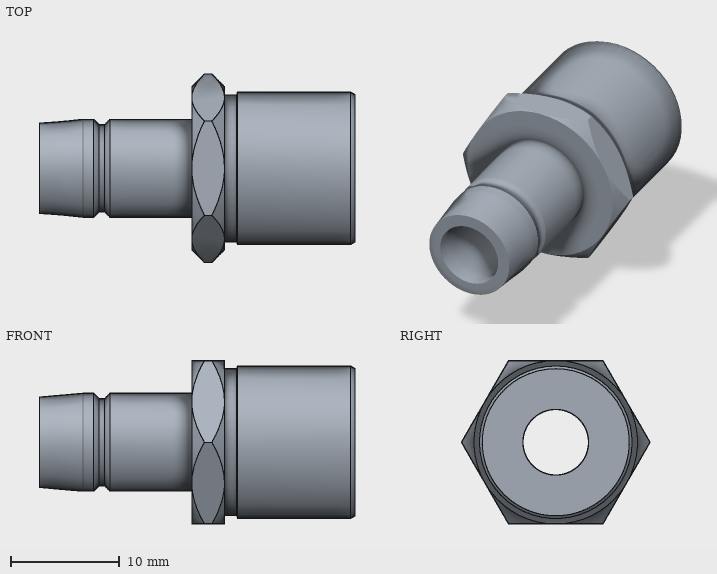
import cadquery as cq
import math

tip_end = 4.0
groove_start = 5.0
groove_end = 6.5
hex_start = 14.0
hex_end = 17.0
neck_end = 18.12
body_start = 18.2
total_length = 29.0

tip_diameter = 8.3
tube_diameter = 9.0
groove_diameter = 8.0
neck_diameter = 13.5
body_diameter = 14.0
bore_diameter = 6.0
hex_across_flats = 15.0

body_end_bevel_length = 0.43
body_end_bevel_depth = 0.25


def revolved_body():
    """Tube with tapered tip and groove, then neck and body, revolved about X."""
    tip_radius = tip_diameter / 2
    tube_radius = tube_diameter / 2
    groove_radius = groove_diameter / 2
    neck_radius = neck_diameter / 2
    body_radius = body_diameter / 2
    groove_depth = tube_radius - groove_radius

    return (
        cq.Workplane("XZ")
        .moveTo(0, 0)
        .lineTo(total_length, 0)
        .lineTo(total_length, body_radius - body_end_bevel_depth)
        .lineTo(total_length - body_end_bevel_length, body_radius)
        .lineTo(body_start, body_radius)
        .lineTo(neck_end, neck_radius)
        .lineTo(hex_start, neck_radius)
        .lineTo(hex_start, tube_radius)
        .lineTo(groove_end, tube_radius)
        .lineTo(groove_end - groove_depth, groove_radius)
        .lineTo(groove_start + groove_depth, groove_radius)
        .lineTo(groove_start, tube_radius)
        .lineTo(tip_end, tube_radius)
        .lineTo(0, tip_radius)
        .close()
        .revolve(360, (0, 0, 0), (1, 0, 0))
    )


def bevelled_hexagon():
    """Hexagon with flats facing +Z and -Z and 45 degree conical bevels on both faces."""
    flat_radius = hex_across_flats / 2
    corner_radius = flat_radius / math.cos(math.pi / 6)
    hex_width = hex_end - hex_start
    prism = (
        cq.Workplane("YZ")
        .workplane(offset=hex_start)
        .polygon(6, 2 * corner_radius)
        .extrude(hex_width)
    )
    bevel_envelope = (
        cq.Workplane("YZ")
        .workplane(offset=hex_start)
        .circle(corner_radius)
        .extrude(hex_width)
        .faces("<X or >X")
        .chamfer(corner_radius - flat_radius)
    )
    return prism.intersect(bevel_envelope)


def through_bore():
    """Cylinder that opens the part from end to end."""
    return cq.Workplane("YZ").circle(bore_diameter / 2).extrude(total_length)


result = revolved_body().union(bevelled_hexagon()).cut(through_bore())